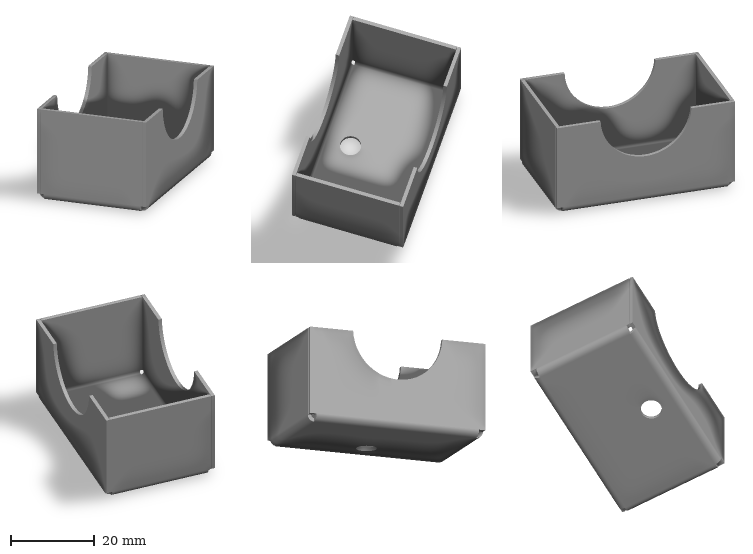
import cadquery as cq

width = 28.0
length = 45.0
height = 23.0

thickness = 0.9
inner_bend_radius = 0.7
outer_bend_radius = inner_bend_radius + thickness
corner_gap = 0.1

hole_diameter = 5.1
hole_x = -6.52
notch_radius = 11.48
notch_depth = 11.0

floor_width = width - 2 * outer_bend_radius
floor_length = length - 2 * outer_bend_radius
wall_height = height - outer_bend_radius
end_wall_width = width - 2 * (thickness + corner_gap)


def plate(size_x, size_y, size_z, x, y, z):
    """Box centred on x and y, with its underside at z."""
    return cq.Workplane("XY").box(size_x, size_y, size_z, centered=(True, True, False)).translate((x, y, z))


def folded_side(floor_half, bend_length, wall_length):
    """Quarter-round bend and upright wall on the +X side of a floor."""
    bend = (
        cq.Workplane("XZ", origin=(floor_half, 0, outer_bend_radius))
        .circle(outer_bend_radius)
        .circle(inner_bend_radius)
        .extrude(bend_length / 2, both=True)
    )
    quarter = cq.Workplane("XY").box(
        outer_bend_radius, bend_length, outer_bend_radius, centered=(False, True, False)
    ).translate((floor_half, 0, 0))
    wall_x = floor_half + outer_bend_radius - thickness / 2
    wall = plate(thickness, wall_length, wall_height, wall_x, 0, outer_bend_radius)
    return bend.intersect(quarter).union(wall)


long_side = folded_side(floor_width / 2, floor_length, length)
end_side = folded_side(floor_length / 2, floor_width, end_wall_width)
body = plate(floor_width, floor_length, thickness, 0, 0, 0)
for angle, side in ((0, long_side), (90, end_side), (180, long_side), (270, end_side)):
    body = body.union(side.rotate((0, 0, 0), (0, 0, 1), angle))

notch_center_z = height - notch_depth + notch_radius
notch = (
    cq.Workplane("YZ", origin=(0, 0, notch_center_z))
    .circle(notch_radius)
    .extrude(width, both=True)
)

hole = cq.Workplane("XY").center(hole_x, 0).circle(hole_diameter / 2).extrude(thickness)

result = body.cut(notch).cut(hole)